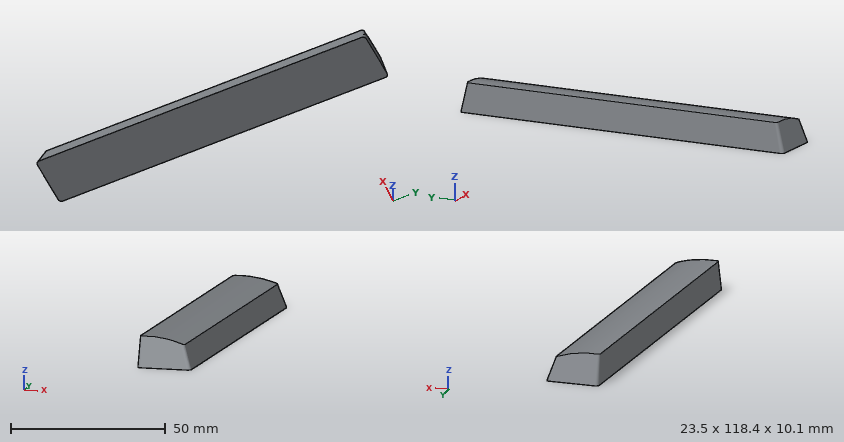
import cadquery as cq
import math

base_length = 117.78
base_width = 17.93
height = 10.13
lip_height = 0.1
end_draft = 13.0
left_draft = 2.0
right_draft = 18.4
base_corner_radius = 1.2
top_corner_radius = 0.9
crown_radius = 35.3
crest_setback = 2.55
yaw = -2.79


def inset(draft):
    """Horizontal run of a drafted face over the full height."""
    return height * math.tan(math.radians(draft))


top_length = base_length - 2 * inset(end_draft)
top_width = base_width - inset(left_draft) - inset(right_draft)
top_left_x = -base_width / 2 + inset(left_draft)
top_centre_x = top_left_x + top_width / 2


def rounded_outline(width, length, radius):
    """Rectangle centred on the origin with rounded corners."""
    return cq.Sketch().rect(width, length).vertices().fillet(radius)


def lip(base_outline):
    """Thin upright band that the drafted body stands on."""
    return cq.Workplane("XY").placeSketch(base_outline).extrude(lip_height)


def drafted_body(base_outline):
    """Flat-topped blank with leaning flat sides and tapering round corners."""
    top_outline = rounded_outline(top_width, top_length, top_corner_radius)
    top_place = cq.Location(cq.Vector(top_centre_x, 0, height - lip_height))
    return (
        cq.Workplane("XY", origin=(0, 0, lip_height))
        .placeSketch(base_outline, top_outline.moved(top_place))
        .loft(ruled=True)
    )


def crown():
    """Cylinder lying along the key; its upper side is the arched top face."""
    return (
        cq.Workplane("XZ", origin=(0, base_length / 2, 0))
        .center(top_left_x + crest_setback, height - crown_radius)
        .circle(crown_radius)
        .extrude(base_length)
    )


base_outline = rounded_outline(base_width, base_length, base_corner_radius)
blank = lip(base_outline).union(drafted_body(base_outline))
key = blank.intersect(crown())
result = key.rotate((0, 0, 0), (0, 0, 1), yaw)